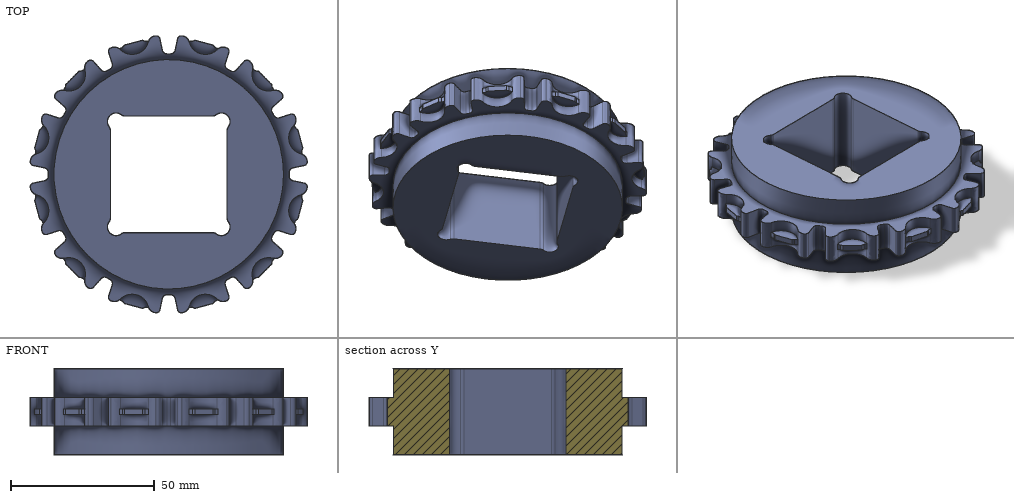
import cadquery as cq
import math

hub_height = 30.0
hub_radius = 40.0
rim_thickness = 10.0
web_thickness = 2.0

repeat_count = 12
repeat_angle = 360 / repeat_count
first_slot_angle = 0
first_scallop_angle = first_slot_angle + repeat_angle / 2

slot_floor_distance = 42.0
slot_floor_half_width = 1.9
slot_wall_angle = 12
slot_floor_fillet = 1.5
slot_cutter_overrun = 1.0

scallop_floor_distance = 43.5
scallop_radius = 5.8

tip_radius = 48.5
slot_side_tip_fillet = 1.4
scallop_side_tip_fillet = 2.9
tip_tolerance = 0.1

web_edge_distance = 47.5
web_edge_half_width = 3.3
web_shoulder_distance = 46.9
web_shoulder_half_width = 4.1
web_end_distance = 46.6
web_end_half_width = 5.4
web_root_overlap = 1.0
web_root_distance = scallop_floor_distance - web_root_overlap

bore_width = 40.6
relief_radius = 3.0
relief_offset = 18.3
relief_fillet = 1.9


def centred_disc(radius, height):
    return cq.Workplane("XY").circle(radius).extrude(height / 2, both=True)


def repeat_around(shape, first_angle):
    """Copy a shape lying on the +X axis around the Z axis."""
    copies = cq.Workplane("XY")
    for index in range(repeat_count):
        copies = copies.add(shape.rotate((0, 0, 0), (0, 0, 1), first_angle + index * repeat_angle))
    return copies.combine()


def slot_cutter():
    mouth_distance = tip_radius + slot_cutter_overrun
    flare = (mouth_distance - slot_floor_distance) * math.tan(math.radians(slot_wall_angle))
    mouth_half_width = slot_floor_half_width + flare
    return (
        cq.Workplane("XY")
        .moveTo(slot_floor_distance, -slot_floor_half_width)
        .lineTo(mouth_distance, -mouth_half_width)
        .lineTo(mouth_distance, mouth_half_width)
        .lineTo(slot_floor_distance, slot_floor_half_width)
        .close()
        .extrude(rim_thickness / 2, both=True)
        .edges("|Z and <X")
        .fillet(slot_floor_fillet)
    )


def scallop_cutter():
    return centred_disc(scallop_radius, rim_thickness).translate(
        (scallop_floor_distance + scallop_radius, 0, 0)
    )


def web():
    half_outline = [
        (web_root_distance, web_end_half_width),
        (web_end_distance, web_end_half_width),
        (web_shoulder_distance, web_shoulder_half_width),
        (web_edge_distance, web_edge_half_width),
    ]
    mirrored_half = [(x, -y) for x, y in reversed(half_outline)]
    outline = cq.Workplane("XY").polyline(half_outline + mirrored_half).close()
    return outline.extrude(web_thickness / 2, both=True)


def round_tip_corners(rim, opening_angle, fillet_radius):
    """Round the tooth corners at the mouths of the openings found every repeat_angle."""
    corners = []
    for edge in rim.edges("|Z").vals():
        centre = edge.Center()
        angle = math.degrees(math.atan2(centre.y, centre.x))
        half_pitch = repeat_angle / 2
        angle_off_opening = abs((angle - opening_angle + half_pitch) % repeat_angle - half_pitch)
        on_tip = math.hypot(centre.x, centre.y) > tip_radius - tip_tolerance
        if on_tip and angle_off_opening < repeat_angle / 4:
            corners.append(edge)
    return rim.newObject(corners).fillet(fillet_radius)


def toothed_rim():
    rim = centred_disc(tip_radius, rim_thickness)
    rim = rim.cut(repeat_around(slot_cutter(), first_slot_angle))
    rim = round_tip_corners(rim, first_slot_angle, slot_side_tip_fillet)
    rim = rim.cut(repeat_around(scallop_cutter(), first_scallop_angle))
    rim = round_tip_corners(rim, first_scallop_angle, scallop_side_tip_fillet)
    return rim.union(repeat_around(web(), first_scallop_angle))


def bore_cutter():
    square = cq.Workplane("XY").rect(bore_width, bore_width).extrude(hub_height / 2, both=True)
    reliefs = (
        cq.Workplane("XY")
        .rect(2 * relief_offset, 2 * relief_offset, forConstruction=True)
        .vertices()
        .circle(relief_radius)
        .extrude(hub_height / 2, both=True)
    )
    return square.union(reliefs).edges("|Z").fillet(relief_fillet)


result = centred_disc(hub_radius, hub_height).union(toothed_rim()).cut(bore_cutter())